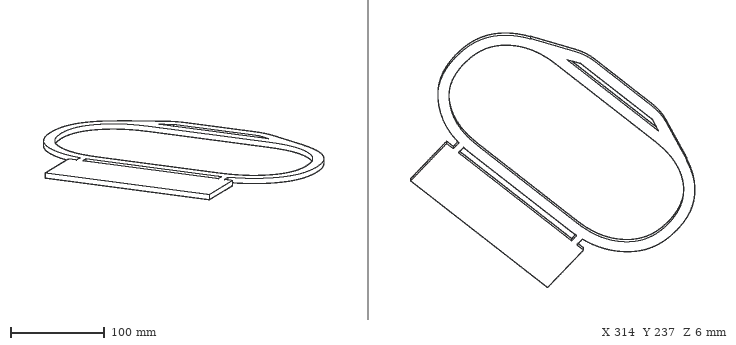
import cadquery as cq
import math

length = 314.0
thickness = 6.0
bar_width = 12.0

ring_half_height = 76.0
straight_half_length = 70.5
end_centre_x = 81.5
end_radius = length / 2 - end_centre_x
shoulder_radius = 75.5
shoulder_angle = math.radians(50)

handle_top = 94.0
handle_angle = math.radians(22.9)
handle_bend_radius = 59.7

plate_length = 194.0
plate_top = -84.0
plate_bottom = -143.0
tab_outer_x = 87.5
tab_width = 7.5
tab_overlap = bar_width / 2


def extruded(sketch):
    return sketch.extrude(thickness)


def oval(inset):
    """Closed oval outline, moved inward from the ring's outer edge by inset."""
    half_height = ring_half_height - inset
    shoulder_x = end_centre_x + (shoulder_radius - inset) * math.cos(shoulder_angle)
    shoulder_y = (shoulder_radius - inset) * math.sin(shoulder_angle)
    tip_x = length / 2 - inset

    lower_right = [(straight_half_length, -half_height), (shoulder_x, -shoulder_y), (tip_x, 0)]
    upper_right = [(tip_x, 0), (shoulder_x, shoulder_y), (straight_half_length, half_height)]
    upper_left = [(-x, -y) for x, y in lower_right]
    lower_left = [(-x, -y) for x, y in upper_right]
    return (
        cq.Workplane("XY")
        .spline(lower_right, tangents=[(1, 0), (0, 1)])
        .spline(upper_right, tangents=[(0, 1), (-1, 0)])
        .lineTo(-straight_half_length, half_height)
        .spline(upper_left, tangents=[(-1, 0), (0, -1)])
        .spline(lower_left, tangents=[(0, -1), (1, 0)])
        .close()
    )


def handle():
    """Trapezoid whose sloping sides leave the ring's ends tangentially."""
    foot_x = end_centre_x + end_radius * math.sin(handle_angle)
    foot_y = end_radius * math.cos(handle_angle)
    corner_x = foot_x - (handle_top - foot_y) / math.tan(handle_angle)
    body = extruded(
        cq.Workplane("XY").polyline([
            (-end_centre_x, 0), (-foot_x, foot_y), (-corner_x, handle_top),
            (corner_x, handle_top), (foot_x, foot_y), (end_centre_x, 0),
        ]).close()
    )
    body = body.edges("|Z and >Y").fillet(handle_bend_radius)

    slot_top = handle_top - bar_width
    slot_top_x = corner_x - bar_width * math.tan(handle_angle / 2)
    slot_bottom_x = slot_top_x + (slot_top - ring_half_height) / math.tan(handle_angle)
    slot = extruded(
        cq.Workplane("XY").polyline([
            (-slot_bottom_x, ring_half_height), (-slot_top_x, slot_top),
            (slot_top_x, slot_top), (slot_bottom_x, ring_half_height),
        ]).close()
    )
    return body.cut(slot)


def name_plate():
    plate_height = plate_top - plate_bottom
    plate = extruded(
        cq.Workplane("XY").center(0, plate_bottom + plate_height / 2).rect(plate_length, plate_height)
    )
    tab_top = -ring_half_height + tab_overlap
    tab_x = tab_outer_x - tab_width / 2
    tabs = extruded(
        cq.Workplane("XY")
        .pushPoints([(side * tab_x, (tab_top + plate_top) / 2) for side in (-1, 1)])
        .rect(tab_width, tab_top - plate_top)
    )
    return plate.union(tabs)


outer = extruded(oval(0))
opening = extruded(oval(bar_width))
result = outer.union(handle()).cut(opening).union(name_plate())